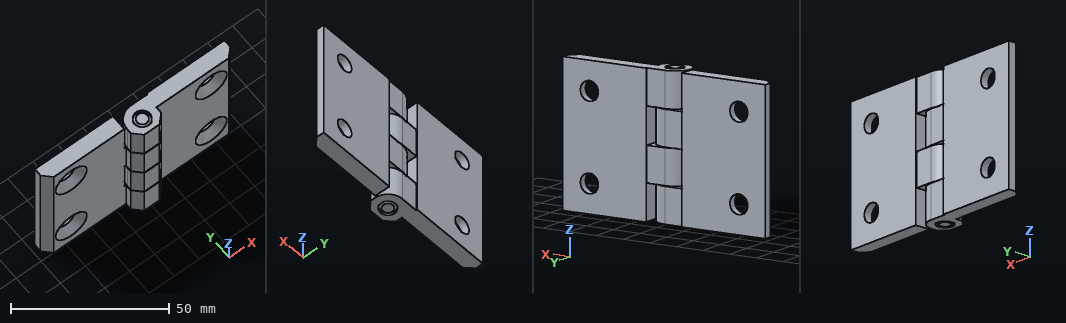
import cadquery as cq
import math

hinge_width = 76.0
hinge_height = 50.0
hinge_depth = 11.5
plate_thickness = 6.0
edge_chamfer = 3.05
knuckle_radius = 6.1
knuckle_setback = 0.45
slot_reach = 6.7
knuckle_count = 4
knuckle_gap = 0.2

pin_radius = 3.05
pin_chamfer = 1.0

screw_spacing_x = 56.0
screw_spacing_z = 30.0
screw_hole_diameter = 6.6
countersink_diameter = 12.5
countersink_angle = 90.0

half_width = hinge_width / 2
half_height = hinge_height / 2
back_y = knuckle_radius + knuckle_setback
plate_front_y = back_y - plate_thickness
knuckle_front_y = back_y - hinge_depth
knuckle_pitch = hinge_height / knuckle_count


def make_plate():
    """Flat plate of the +X leaf, with its outer front edge bevelled."""
    return (
        cq.Workplane("XY")
        .workplane(offset=-half_height)
        .moveTo(slot_reach, back_y)
        .lineTo(half_width, back_y)
        .lineTo(half_width, plate_front_y + edge_chamfer)
        .lineTo(half_width - edge_chamfer, plate_front_y)
        .lineTo(slot_reach, plate_front_y)
        .close()
        .extrude(hinge_height)
    )


def make_knuckle(bottom_z, top_z):
    """Knuckle rounded behind the pin, bevelled in front and joined to the plate by a neck."""
    arc_offset = knuckle_radius * math.sqrt(0.5)
    bevel_y = knuckle_front_y + edge_chamfer
    bevel_x = knuckle_radius - edge_chamfer
    return (
        cq.Workplane("XY")
        .workplane(offset=bottom_z)
        .moveTo(slot_reach, knuckle_radius)
        .lineTo(0, knuckle_radius)
        .threePointArc((-arc_offset, arc_offset), (-knuckle_radius, 0))
        .lineTo(-knuckle_radius, bevel_y)
        .lineTo(-bevel_x, knuckle_front_y)
        .lineTo(bevel_x, knuckle_front_y)
        .lineTo(knuckle_radius, bevel_y)
        .lineTo(knuckle_radius, plate_front_y)
        .lineTo(slot_reach, plate_front_y)
        .close()
        .extrude(top_z - bottom_z)
    )


def drill_screw_holes(leaf):
    """Two through holes, countersunk from the front face."""
    screw_places = [(screw_spacing_x / 2, side * screw_spacing_z / 2) for side in (-1, 1)]
    return (
        leaf.copyWorkplane(cq.Workplane("XZ", origin=(0, plate_front_y, 0)))
        .pushPoints(screw_places)
        .cskHole(screw_hole_diameter, countersink_diameter, countersink_angle)
    )


def make_leaf():
    """The +X leaf: plate, every second knuckle from the top down, pin bore and screw holes."""
    leaf = make_plate()
    for index in range(0, knuckle_count, 2):
        slot_top_z = half_height - index * knuckle_pitch
        top_z = slot_top_z if index == 0 else slot_top_z - knuckle_gap / 2
        bottom_z = slot_top_z - knuckle_pitch + knuckle_gap / 2
        leaf = leaf.union(make_knuckle(bottom_z, top_z))
    pin_bore = cq.Workplane("XY").circle(pin_radius).extrude(half_height, both=True)
    return drill_screw_holes(leaf.cut(pin_bore))


def make_pin():
    """Pin as long as the hinge, chamfered at both ends."""
    return (
        cq.Workplane("XY")
        .circle(pin_radius)
        .extrude(half_height, both=True)
        .faces("<Z or >Z")
        .chamfer(pin_chamfer)
    )


right_leaf = make_leaf()
left_leaf = right_leaf.rotate((0, 0, 0), (0, 1, 0), 180)
pin = make_pin()

bodies = [right_leaf, left_leaf, pin]
result = cq.Compound.makeCompound([body.solids().val() for body in bodies])